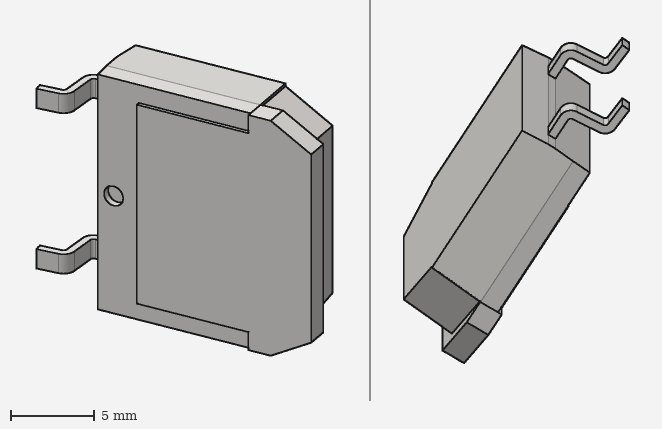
import cadquery as cq
import math

draft = math.tan(math.radians(4))

length = 18.9
height = 5.1
width = 15.95
half_width = width / 2

tab_thickness = 1.53
tab_start_x = 14.6
tab_chamfer_x = 2.78
tab_chamfer_z = 1.59
pad_start_x = 6.94
pad_width = 13.5
pad_thickness = 0.26

belt_x = 3.93
belt_bottom = 2.82
belt_top = 3.35
nose_end_x = 17.82
nose_half_width = half_width - 0.19
nose_slope = math.tan(math.radians(30))
dimple_x = 5.2
dimple_diameter = 1.3
dimple_depth = 0.51

lead_thickness = belt_top - belt_bottom
lead_width = 1.32
lead_z = 5.45
lead_tilt = math.radians(4)
leg_foot_x = 1.6
outer_bend_radius = 0.75
inner_bend_radius = outer_bend_radius - lead_thickness


def extrude_across_width(outline, full_width):
    """Extrude an XY outline symmetrically about Z = 0."""
    return outline.close().extrude(full_width / 2, both=True)


def make_tab():
    """Thick chamfered tab with a thin heat pad running under the housing."""
    outline = [
        (tab_start_x, half_width),
        (length - tab_chamfer_x, half_width),
        (length, half_width - tab_chamfer_z),
        (length, -half_width + tab_chamfer_z),
        (length - tab_chamfer_x, -half_width),
        (tab_start_x, -half_width),
    ]
    block = cq.Workplane("XZ").polyline(outline).close().extrude(-tab_thickness)
    pad_length = tab_start_x - pad_start_x
    pad = cq.Workplane("XY").box(pad_length, pad_thickness, pad_width, centered=(False, False, True))
    return block.union(pad.translate((pad_start_x, 0, 0)))


def make_main_block():
    """Housing beside the tab, drafted away from the belt and the tab face."""
    top_rise = height - tab_thickness
    side_outline = (
        cq.Workplane("XY")
        .moveTo(belt_x + draft * (belt_bottom - pad_thickness), pad_thickness)
        .lineTo(belt_x, belt_bottom)
        .lineTo(belt_x, belt_top)
        .lineTo(belt_x + draft * (height - belt_top), height)
        .lineTo(tab_start_x - draft * top_rise, height)
        .lineTo(tab_start_x, tab_thickness)
        .lineTo(tab_start_x, pad_thickness)
    )
    side = extrude_across_width(side_outline, width)
    top_half_width = half_width - draft * top_rise
    end_outline = [
        (pad_thickness, -half_width),
        (tab_thickness, -half_width),
        (height, -top_half_width),
        (height, top_half_width),
        (tab_thickness, half_width),
        (pad_thickness, half_width),
    ]
    end = cq.Workplane("YZ").polyline(end_outline).close().extrude(length)
    return side.intersect(end)


def nose_section(y):
    """Wire of the housing nose at height y, shrinking with the draft."""
    inset = draft * (y - tab_thickness)
    root_x = tab_start_x - inset
    end_x = nose_end_x - inset
    root_z = nose_half_width - inset
    end_z = root_z - nose_slope * (end_x - root_x)
    points = [(root_x, root_z), (end_x, end_z), (end_x, -end_z), (root_x, -root_z)]
    return cq.Wire.makePolygon([cq.Vector(x, y, z) for x, z in points], close=True)


def make_housing():
    """Moulded housing with a tapered nose over the tab and a round dimple underneath."""
    nose = cq.Solid.makeLoft([nose_section(tab_thickness), nose_section(height)], True)
    dimple = (
        cq.Workplane("XZ", origin=(dimple_x, pad_thickness, 0))
        .circle(dimple_diameter / 2)
        .extrude(-dimple_depth)
    )
    return make_main_block().union(cq.Workplane(obj=nose)).cut(dimple)


def make_lead(z):
    """Gull-wing lead centred at the given Z."""
    sin_tilt = math.sin(lead_tilt)
    cos_tilt = math.cos(lead_tilt)
    tan_tilt = math.tan(lead_tilt)
    tip_bottom_x = lead_thickness * sin_tilt
    tip_top_y = lead_thickness * cos_tilt
    leg_inner_foot_x = leg_foot_x + lead_thickness / cos_tilt

    def leg_meets_foot(leg_x, foot_x, foot_y):
        """Corner where the tilted leg face crosses the tilted foot face."""
        y = (foot_y + tan_tilt * (leg_x - foot_x)) / (1 - tan_tilt ** 2)
        return (leg_x + tan_tilt * y, y)

    heel = leg_meets_foot(leg_inner_foot_x, tip_bottom_x, 0)
    instep = leg_meets_foot(leg_foot_x, 0, tip_top_y)
    shoulder = (leg_foot_x + tan_tilt * belt_top, belt_top)
    armpit = (leg_inner_foot_x + tan_tilt * belt_bottom, belt_bottom)
    outline = cq.Workplane("XY").polyline([
        (tip_bottom_x, 0),
        heel,
        armpit,
        (belt_x, belt_bottom),
        (belt_x, belt_top),
        shoulder,
        instep,
        (0, tip_top_y),
    ])
    lead = extrude_across_width(outline, lead_width)
    bends = [
        (heel, outer_bend_radius),
        (shoulder, outer_bend_radius),
        (instep, inner_bend_radius),
        (armpit, inner_bend_radius),
    ]
    for (x, y), radius in bends:
        lead = lead.edges(cq.selectors.NearestToPointSelector((x, y, 0))).fillet(radius)
    return lead.translate((0, 0, z))


tab = make_tab()
housing = make_housing()
leads = [make_lead(side * lead_z) for side in (-1, 1)]

result = cq.Compound.makeCompound([housing.val(), tab.val(), *[lead.val() for lead in leads]])